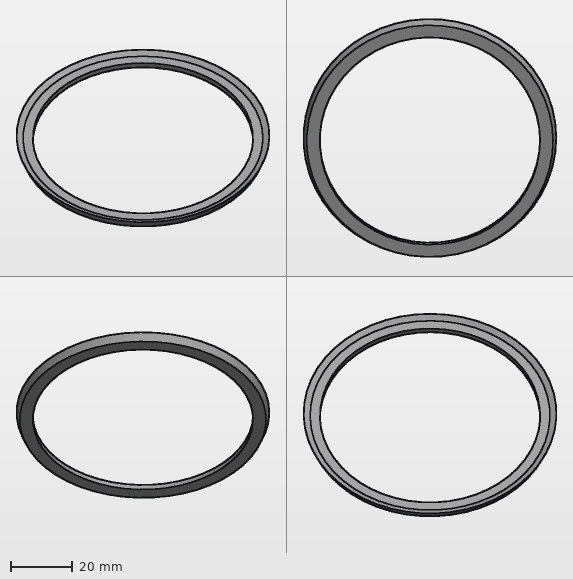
import cadquery as cq

height = 3.0
rim_diameter = 82.4
base_diameter = 80.2
bore_diameter = 71.7

seat_diameter = 78.1
seat_height = 2.0

rim_radius = rim_diameter / 2
base_radius = base_diameter / 2
bore_radius = bore_diameter / 2
seat_radius = seat_diameter / 2


def ring_section():
    """Half section of the ring in the XZ plane, to the -X side of the axis."""
    return (
        cq.Workplane("XZ")
        .moveTo(-bore_radius, 0)
        .lineTo(-base_radius, 0)
        .lineTo(-rim_radius, height)
        .lineTo(-seat_radius, seat_height)
        .lineTo(-bore_radius, seat_height)
        .close()
    )


result = ring_section().revolve(360, (0, 0, 0), (0, 1, 0))